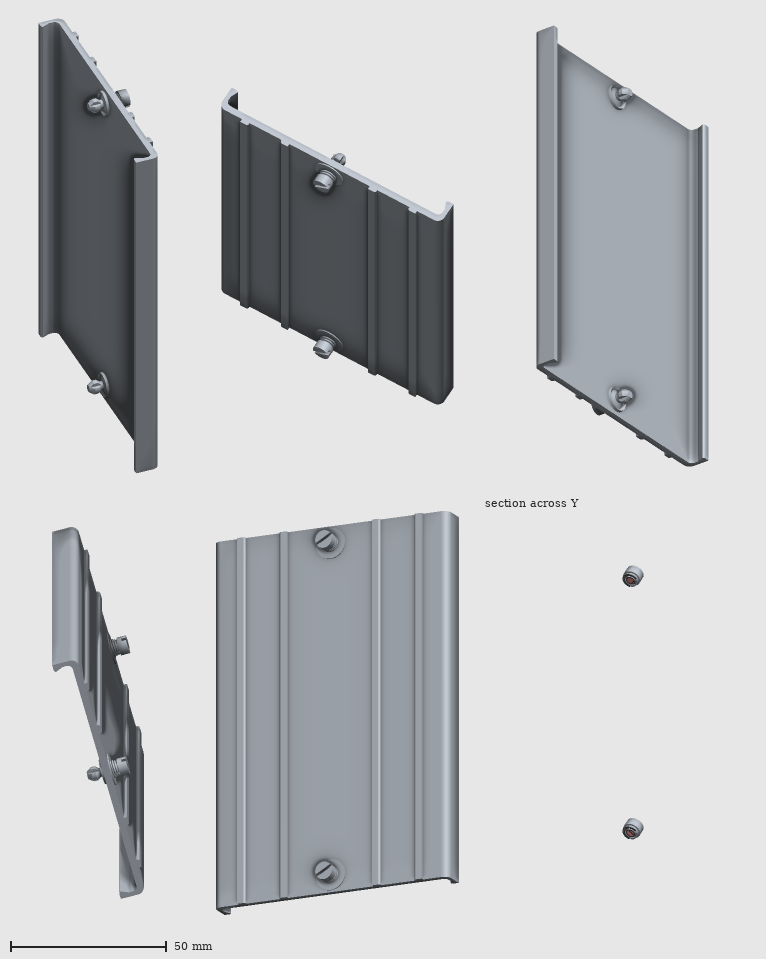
import cadquery as cq
import math

LENGTH = 123.0
WIDTH = 83.1
DEPTH = 13.8

PLATE_BACK = 8.2
PLATE_THICKNESS = 2.2
PLATE_FRONT = PLATE_BACK - PLATE_THICKNESS
CORNER_RADIUS = 2.5
LEG_THICKNESS = 1.5
LEG_INNER_RADIUS = 1.6
LIP_REACH = 2.6
LIP_FLAT = 1.6
LIP_HEIGHT = 0.5
LIP_TOP = 3.1

RIB_HEIGHT = 1.1
RIB_WIDTH = 2.8
RIB_ROUND = 0.7
INNER_RIB_OFFSET = 16.5
OUTER_RIB_OFFSET = 31.4

FASTENER_OFFSET = 55.7
FASTENER_LEVELS = (-FASTENER_OFFSET, FASTENER_OFFSET)

BUSH_RADIUS = 3.1
BACK_FLANGE_RADIUS = 5.2
BACK_FLANGE_THICKNESS = 0.4
FRONT_FLANGE_RADIUS = 4.3
FRONT_RIM_RADIUS = 4.0
FRONT_FLANGE_THICKNESS = 0.9
DISH_RADIUS = 3.2
DISH_DEPTH = 0.6
COLLAR_RADIUS = 1.8
COLLAR_HEIGHT = 0.9

HEAD_RADIUS = 3.0
HEAD_HEIGHT = 3.0
SLOT_WIDTH = 1.0
SLOT_DEPTH = 1.5
SLOT_ANGLE = 30.0
SHANK_RADIUS = 1.5

WIRE_RADIUS = 0.31
COIL_TOP_RADIUS = 2.1
COIL_BOTTOM_RADIUS = 2.7
COIL_TURNS = 3

TIP_END = 0.4
LUG_WIDTH = 2.0
LUG_RADIUS = 2.3
LUG_END_RADIUS = 1.2
LUG_START = 2.0
LUG_STOP = 3.3
LUG_NECK = 4.4

FLANGE_BACK = PLATE_BACK + BACK_FLANGE_THICKNESS
FLANGE_FRONT = PLATE_FRONT - FRONT_FLANGE_THICKNESS
HEAD_BOTTOM = DEPTH - HEAD_HEIGHT


def make_plate():
    """Channel-shaped plate with hooked legs, back ribs and two bush holes."""
    half = WIDTH / 2
    inner = half - LEG_THICKNESS
    diagonal = math.sqrt(0.5)
    inner_mid = LEG_INNER_RADIUS * diagonal
    outer_mid = CORNER_RADIUS * diagonal
    leg_corner = (inner - LEG_INNER_RADIUS, PLATE_FRONT - LEG_INNER_RADIUS)
    corner = (half - CORNER_RADIUS, PLATE_BACK - CORNER_RADIUS)
    half_section = (
        cq.Workplane("XY", origin=(0, 0, -LENGTH / 2))
        .moveTo(0, PLATE_BACK)
        .lineTo(corner[0], PLATE_BACK)
        .threePointArc(
            (corner[0] + outer_mid, corner[1] + outer_mid),
            (half, corner[1]),
        )
        .lineTo(half, 0)
        .lineTo(half - LIP_FLAT, 0)
        .tangentArcPoint((half - LIP_REACH, LIP_HEIGHT), relative=False)
        .lineTo(inner, LIP_TOP)
        .lineTo(inner, leg_corner[1])
        .threePointArc(
            (leg_corner[0] + inner_mid, leg_corner[1] + inner_mid),
            (leg_corner[0], PLATE_FRONT),
        )
        .lineTo(0, PLATE_FRONT)
        .close()
        .extrude(LENGTH)
    )
    plate = half_section.union(half_section.mirror("YZ"))
    for rib in (make_rib(INNER_RIB_OFFSET, ">X"), make_rib(OUTER_RIB_OFFSET, "<X")):
        plate = plate.union(rib).union(rib.mirror("YZ"))
    for z in FASTENER_LEVELS:
        plate = plate.cut(disc(BUSH_RADIUS, PLATE_FRONT, PLATE_BACK).translate((0, 0, z)))
    return plate


def make_rib(x, rounded_side):
    """Full-length rib with one rounded top edge, on the given side."""
    root = PLATE_BACK - PLATE_THICKNESS / 2
    top = PLATE_BACK + RIB_HEIGHT
    return (
        cq.Workplane("XY")
        .box(RIB_WIDTH, top - root, LENGTH)
        .faces(rounded_side)
        .edges(">Y")
        .fillet(RIB_ROUND)
        .translate((x, (root + top) / 2, 0))
    )


def disc(radius, front, back):
    """Cylinder about the Y axis between two Y levels."""
    return cq.Workplane("XZ", origin=(0, back, 0)).circle(radius).extrude(back - front)


def revolve_about_y(points):
    """Solid of revolution about Y from (radius, y) points."""
    return cq.Workplane("XY").polyline(points).close().revolve(360, (0, 0, 0), (0, 1, 0))


def make_bush():
    """Flanged bush with a dished front rim around a conical collar."""
    return revolve_about_y([
        (0, FLANGE_BACK),
        (BACK_FLANGE_RADIUS, FLANGE_BACK),
        (BACK_FLANGE_RADIUS, PLATE_BACK),
        (BUSH_RADIUS, PLATE_BACK),
        (BUSH_RADIUS, PLATE_FRONT),
        (FRONT_FLANGE_RADIUS, PLATE_FRONT),
        (FRONT_RIM_RADIUS, FLANGE_FRONT),
        (DISH_RADIUS, FLANGE_FRONT + DISH_DEPTH),
        (COLLAR_RADIUS, PLATE_FRONT - COLLAR_HEIGHT),
        (0, PLATE_FRONT - COLLAR_HEIGHT),
    ])


def make_head():
    """Slotted cylindrical head."""
    slot = (
        cq.Workplane("XY")
        .box(2 * HEAD_RADIUS + SLOT_WIDTH, SLOT_DEPTH, SLOT_WIDTH)
        .rotate((0, 0, 0), (0, 1, 0), SLOT_ANGLE)
        .translate((0, DEPTH - SLOT_DEPTH / 2, 0))
    )
    return disc(HEAD_RADIUS, HEAD_BOTTOM, DEPTH).cut(slot)


def make_spring():
    """Conical coil spring whose ends bed into the back flange and the head."""
    height = HEAD_BOTTOM - FLANGE_BACK
    taper = math.degrees(math.atan((COIL_BOTTOM_RADIUS - COIL_TOP_RADIUS) / height))
    path = cq.Wire.makeHelix(height / COIL_TURNS, height, COIL_BOTTOM_RADIUS, angle=-taper)
    wire = (
        cq.Workplane("XZ", origin=(COIL_BOTTOM_RADIUS, 0, 0))
        .circle(WIRE_RADIUS)
        .sweep(cq.Workplane(path), isFrenet=True)
    )
    return wire.rotate((0, 0, 0), (1, 0, 0), -90).translate((0, FLANGE_BACK, 0))


def make_tip():
    """Four-lobed quarter-turn tip with tapered ends."""
    barrel = revolve_about_y([
        (0, TIP_END),
        (LUG_END_RADIUS, TIP_END),
        (LUG_RADIUS, LUG_START),
        (LUG_RADIUS, LUG_STOP),
        (SHANK_RADIUS, LUG_NECK),
        (0, LUG_NECK),
    ])
    span = 2 * LUG_RADIUS
    cross = cq.Workplane("XY").box(span, DEPTH, LUG_WIDTH).union(
        cq.Workplane("XY").box(LUG_WIDTH, DEPTH, span))
    return barrel.intersect(cross)


def make_fastener():
    """Quarter-turn fastener centred on the Y axis, in one solid."""
    fastener = disc(SHANK_RADIUS, LUG_NECK, HEAD_BOTTOM)
    for piece in (make_bush(), make_head(), make_tip(), make_spring()):
        fastener = fastener.union(piece)
    return fastener


plate = make_plate()

fastener = make_fastener()
fasteners = [fastener.translate((0, 0, z)) for z in FASTENER_LEVELS]

result = cq.Compound.makeCompound([plate.val(), *[f.val() for f in fasteners]])